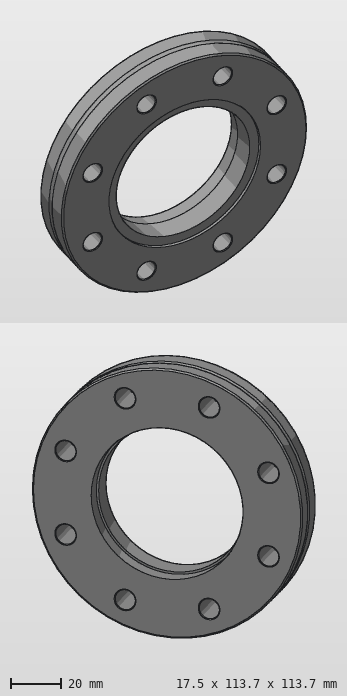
import cadquery as cq

outer_diameter = 113.7
thickness = 17.5
edge_chamfer = 0.7

groove_start = 7.2
groove_width = 2.4
groove_depth = 0.5

bore_diameter = 61.9
front_counterbore_diameter = 63.8
front_counterbore_depth = 6.6
rear_recess_diameter = 70.3
rear_recess_depth = 1.4

bolt_hole_count = 8
bolt_hole_diameter = 8.4
bolt_hole_chamfer = 0.3
bolt_circle_diameter = 92.3


def make_cylinder(diameter, start, length):
    return cq.Workplane("YZ", origin=(start, 0, 0)).circle(diameter / 2).extrude(length)


def make_disc():
    return make_cylinder(outer_diameter, 0, thickness).edges().chamfer(edge_chamfer)


def make_rim_groove():
    """Ring with an arc-shaped inner side, removed from the rim."""
    outer_radius = outer_diameter / 2
    groove_end = groove_start + groove_width
    groove_middle = groove_start + groove_width / 2
    clearance = 1.1
    return (
        cq.Workplane("XY")
        .moveTo(groove_start, outer_radius)
        .threePointArc((groove_middle, outer_radius - groove_depth), (groove_end, outer_radius))
        .lineTo(groove_end, outer_radius + clearance)
        .lineTo(groove_start, outer_radius + clearance)
        .close()
        .revolve(360, (0, 0, 0), (1, 0, 0))
    )


def make_stepped_bore():
    through = make_cylinder(bore_diameter, 0, thickness)
    counterbore = make_cylinder(front_counterbore_diameter, 0, front_counterbore_depth)
    recess = make_cylinder(rear_recess_diameter, thickness - rear_recess_depth, rear_recess_depth)
    return through.union(counterbore).union(recess)


def bolt_circles(start, diameter):
    """Circles at every bolt position, in the plane X = start."""
    half_pitch = 360 / bolt_hole_count / 2
    return (
        cq.Workplane("YZ", origin=(start, 0, 0))
        .polarArray(bolt_circle_diameter / 2, half_pitch, 360, bolt_hole_count)
        .circle(diameter / 2)
    )


def make_bolt_holes():
    """Through holes with a 45 degree chamfer at both ends."""
    mouth_diameter = bolt_hole_diameter + 2 * bolt_hole_chamfer
    shanks = bolt_circles(0, bolt_hole_diameter).extrude(thickness)
    front_mouths = bolt_circles(0, mouth_diameter).extrude(bolt_hole_chamfer, taper=45)
    rear_mouths = bolt_circles(thickness, mouth_diameter).extrude(-bolt_hole_chamfer, taper=45)
    return shanks.union(front_mouths).union(rear_mouths)


result = make_disc().cut(make_rim_groove()).cut(make_stepped_bore()).cut(make_bolt_holes())